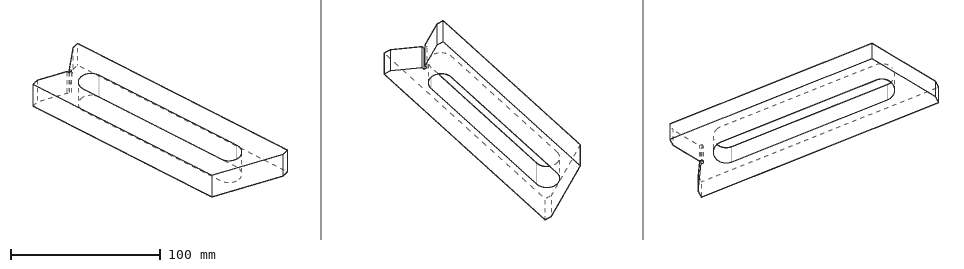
import cadquery as cq
import math

length = 175.0
width = 50.0
thickness = 20.0

land = 5.2
flank_angle = math.radians(60)
relief_width = 2.5
relief_bottom = 12.8

slot_start = 21.4
slot_end = 153.3
slot_width = 17.2

half_width = width / 2
half_relief = relief_width / 2
vee_depth = (half_width - land - half_relief) / math.tan(flank_angle)
bevel_run = (width - land) / math.tan(flank_angle)


def make_body():
    """Bar with a relieved vee at the left end and an angled right end."""
    outline = [
        (0, -half_width),
        (length - bevel_run, -half_width),
        (length, half_width - land),
        (length, half_width),
        (0, half_width),
        (0, half_width - land),
        (vee_depth, half_relief),
        (relief_bottom, half_relief),
        (relief_bottom, -half_relief),
        (vee_depth, -half_relief),
        (0, land - half_width),
    ]
    return cq.Workplane("XY").polyline(outline).close().extrude(thickness)


def make_slot():
    """Round-ended cutter along the bar's centreline."""
    return (
        cq.Workplane("XY")
        .center((slot_start + slot_end) / 2, 0)
        .slot2D(slot_end - slot_start, slot_width)
        .extrude(thickness)
    )


result = make_body().cut(make_slot())